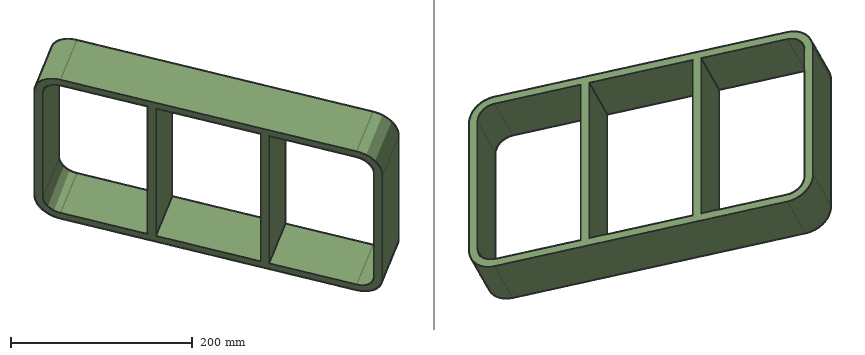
import cadquery as cq

length = 401.5
depth = 60.0
height = 238.0
wall = 10.0
divider_thickness = 10.0
outer_radius = 30.0
window_count = 3

inner_length = length - 2 * wall
inner_height = height - 2 * wall
inner_radius = outer_radius - wall
divider_count = window_count - 1
window_width = (inner_length - divider_count * divider_thickness) / window_count
divider_pitch = window_width + divider_thickness


def rounded_block(size_x, size_z, corner_radius):
    """Block of the full depth with its four Y-direction edges rounded."""
    return cq.Workplane("XY").box(size_x, depth, size_z).edges("|Y").fillet(corner_radius)


def make_frame():
    """Rounded rectangular ring, open along Y, with a uniform wall."""
    outer = rounded_block(length, height, outer_radius)
    opening = rounded_block(inner_length, inner_height, inner_radius)
    return outer.cut(opening)


def make_divider(index):
    """Upright partition reaching halfway into the top and bottom walls."""
    x_center = (index - (divider_count - 1) / 2) * divider_pitch
    divider = cq.Workplane("XY").box(divider_thickness, depth, inner_height + wall)
    return divider.translate((x_center, 0, 0))


result = make_frame()
for divider_index in range(divider_count):
    result = result.union(make_divider(divider_index))
result = result.clean()